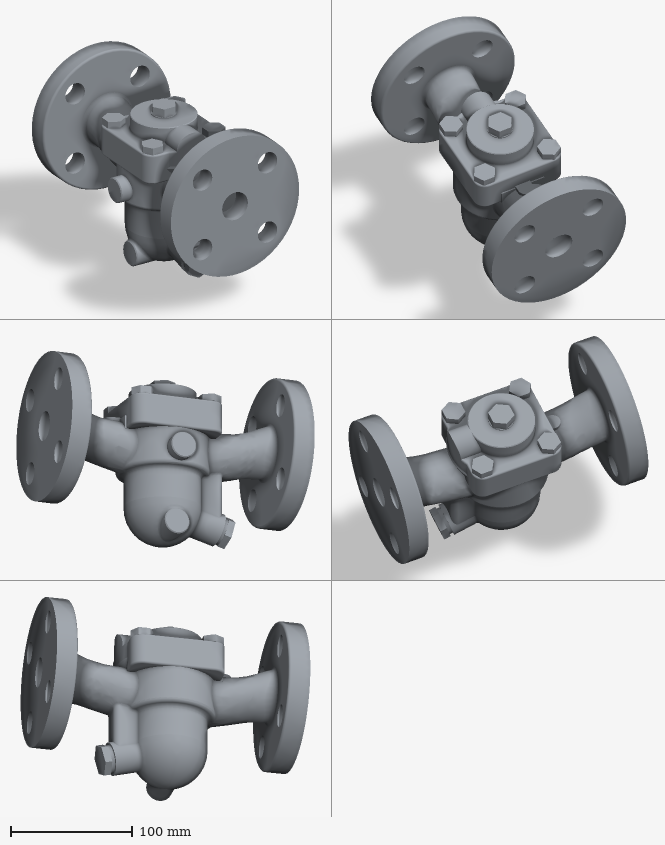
import cadquery as cq
import math


OVERALL_LENGTH = 215.0
INLET_FACE_X = -105.0
OUTLET_FACE_X = INLET_FACE_X + OVERALL_LENGTH
FLANGE_DIAMETER = 125.0
FLANGE_THICKNESS = 18.0
FLANGE_EDGE_RADIUS = 2.0
BOLT_HOLE_DIAMETER = 19.0
BOLT_HOLE_OFFSET = 31.5
BORE_DIAMETER = 25.0

PIPE_DIAMETER = 45.0
PIPE_SECTIONS = [
    (0.0, PIPE_DIAMETER / 2, -PIPE_DIAMETER / 2),
    (16.1, 16.0, -23.0),
    (33.3, 11.2, -27.3),
    (64.5, 10.5, -34.2),
]
PIPE_ROOT_RADIUS = 2.5

UPPER_RADIUS = 39.0
BOWL_RADIUS = 32.2
SHOULDER_Z = -28.0
SHOULDER_RADIUS = (UPPER_RADIUS - BOWL_RADIUS) / 2
BOWL_CENTER_Z = -58.7

JOINT_SEARCH_X = 21.5
SEARCH_MARGIN = 0.5
JOINT_RADIUS = 2.2
LOWER_BOSS_JOINT_RADIUS = 2.5

PLATE_SIDE = 80.0
PLATE_CORNER_RADIUS = 10.0
PLATE_BOTTOM_Z = 0.0
JOINT_Z = 13.0
COVER_TOP_Z = 26.2
COVER_EDGE_RADIUS = 1.5
PLATE_BOTTOM_RADIUS = 1.7
INLET_PAD_X = -41.0
INLET_PAD_WIDTH = 39.5
INLET_PAD_TOP_Z = 11.2

BULGE_RADIUS = 44.7
BODY_BULGE_RADIUS = 45.5
BODY_BULGE_FOOT_RADIUS = 41.3
BODY_BULGE_TOP_Z = INLET_PAD_TOP_Z
BULGE_WIDTH = 56.0

DOME_RADIUS = 28.0
DOME_TOP_Z = 40.6
DOME_ROOT_RADIUS = 1.5
DOME_EDGE_CHAMFER = 0.6
EAR_RADIUS = 14.0
CENTER_WASHER_DIAMETER = 21.0
CENTER_WASHER_HEIGHT = 0.9
CENTER_PLUG_FLATS = 19.0
CENTER_PLUG_HEIGHT = 7.7

HEXAGON_HALF_TURN = 30
COVER_BOLT_OFFSET = 29.9
COVER_BOLT_FLATS = 17.0
COVER_BOLT_HEIGHT = 6.2

TAB_WIDTH = 13.5
TAB_END_X = -52.7
TAB_THICKNESS = 4.3

BOSS_DIAMETER = 22.0
BOSS_EDGE_CHAMFER = 0.9
UPPER_BOSS_Z = -17.6
UPPER_BOSS_END_Y = -48.2
LOWER_BOSS_Z = -79.0
LOWER_BOSS_END_Y = -33.1

PLUG_TILT = 15.0
PLUG_BOSS_DIAMETER = 28.0
PLUG_BOSS_LENGTH = 51.2
PLUG_WASHER_DIAMETER = 23.6
PLUG_WASHER_HEIGHT = 3.0
PLUG_FLATS = 23.6
PLUG_HEIGHT = 6.0
RIB_WIDTH = 25.8
RIB_END_X = 49.0
RIB_EDGE_RADIUS = 5.0
RIB_TOP_Z = -21.5


def box_around(near, far):
    """Selector for the edges whose centres lie between two opposite corners."""
    return cq.selectors.BoxSelector(near, far)


def hexagon(flats, height, turn=0.0):
    """Hexagonal prism standing on Z = 0, with two corners on the X axis before turning."""
    corners = flats / math.cos(math.radians(HEXAGON_HALF_TURN))
    return cq.Workplane("XY").polygon(6, corners).extrude(height).rotate((0, 0, 0), (0, 0, 1), turn)


def disc(diameter, bottom, top):
    return cq.Workplane("XY").workplane(offset=bottom).circle(diameter / 2).extrude(top - bottom)


def pipe_end(face_x, inward):
    """Flange and curved neck; inward is +1 or -1 along X, from the face to the body."""
    back_x = face_x + inward * FLANGE_THICKNESS
    flange = cq.Workplane("YZ", origin=(face_x, 0, 0)).circle(FLANGE_DIAMETER / 2)
    flange = flange.extrude(inward * FLANGE_THICKNESS)
    flange = flange.edges(cq.selectors.NearestToPointSelector((back_x, 0, FLANGE_DIAMETER / 2)))
    flange = flange.fillet(FLANGE_EDGE_RADIUS)

    neck = cq.Workplane("YZ", origin=(back_x, 0, 0))
    previous = 0.0
    for distance, top, bottom in PIPE_SECTIONS:
        neck = neck.workplane(offset=inward * (distance - previous))
        neck = neck.moveTo(0, (top + bottom) / 2)
        neck = neck.ellipse(PIPE_DIAMETER / 2, (top - bottom) / 2)
        previous = distance
    neck = neck.loft()

    pipe = flange.union(neck)
    near = (back_x - SEARCH_MARGIN, -PIPE_DIAMETER, -PIPE_DIAMETER)
    far = (back_x + SEARCH_MARGIN, PIPE_DIAMETER, PIPE_DIAMETER)
    return pipe.edges(box_around(near, far)).fillet(PIPE_ROOT_RADIUS)


def flange_holes(face_x, inward):
    """Four bolt holes and the blind bore of one flange."""
    face = cq.Workplane("YZ", origin=(face_x, 0, 0))
    holes = face.rect(2 * BOLT_HOLE_OFFSET, 2 * BOLT_HOLE_OFFSET, forConstruction=True).vertices()
    holes = holes.circle(BOLT_HOLE_DIAMETER / 2).extrude(inward * FLANGE_THICKNESS)
    bore = face.circle(BORE_DIAMETER / 2).extrude(inward * FLANGE_THICKNESS)
    return holes.union(bore)


def body():
    """Upper cylinder, rolled shoulder and round-bottomed bowl, as one turned shape."""
    roll = SHOULDER_RADIUS
    drop = roll * math.sqrt(0.5)
    middle = (UPPER_RADIUS - roll, SHOULDER_Z - roll)
    dip = BOWL_RADIUS * math.sqrt(0.5)
    profile = (
        cq.Workplane("YZ")
        .moveTo(0, JOINT_Z)
        .lineTo(UPPER_RADIUS, JOINT_Z)
        .lineTo(UPPER_RADIUS, SHOULDER_Z)
        .threePointArc((UPPER_RADIUS - roll + drop, SHOULDER_Z - drop), middle)
        .threePointArc((BOWL_RADIUS + roll - drop, SHOULDER_Z - 2 * roll + drop),
                       (BOWL_RADIUS, SHOULDER_Z - 2 * roll))
        .lineTo(BOWL_RADIUS, BOWL_CENTER_Z)
        .threePointArc((dip, BOWL_CENTER_Z - dip), (0, BOWL_CENTER_Z - BOWL_RADIUS))
        .close()
    )
    return profile.revolve(360, (0, 0, 0), (0, 1, 0))


def plate(bottom, top):
    square = cq.Workplane("XY").workplane(offset=bottom).rect(PLATE_SIDE, PLATE_SIDE)
    return square.extrude(top - bottom).edges("|Z").fillet(PLATE_CORNER_RADIUS)


def bulge_zone():
    """Space on the outlet side that limits the bulges and the ear."""
    height = DOME_TOP_Z - PLATE_BOTTOM_Z
    zone = cq.Workplane("XY").workplane(offset=PLATE_BOTTOM_Z)
    return zone.rect(2 * BULGE_RADIUS, BULGE_WIDTH).extrude(height).translate((BULGE_RADIUS, 0, 0))


def body_flange():
    flange = plate(PLATE_BOTTOM_Z, JOINT_Z).faces("<Z").edges().fillet(PLATE_BOTTOM_RADIUS)
    pad_height = INLET_PAD_TOP_Z - PLATE_BOTTOM_Z
    pad = cq.Workplane("XY").box(UPPER_RADIUS, INLET_PAD_WIDTH, pad_height, centered=(False, True, False))
    pad = pad.translate((INLET_PAD_X, 0, PLATE_BOTTOM_Z))
    bulge = (
        cq.Workplane("XZ")
        .moveTo(0, PLATE_BOTTOM_Z)
        .lineTo(BODY_BULGE_FOOT_RADIUS, PLATE_BOTTOM_Z)
        .lineTo(BODY_BULGE_RADIUS, BODY_BULGE_TOP_Z)
        .lineTo(BULGE_RADIUS, JOINT_Z)
        .lineTo(0, JOINT_Z)
        .close()
        .revolve(360, (0, 0, 0), (0, 1, 0))
        .intersect(bulge_zone())
    )
    return flange.union(pad).union(bulge)


def cover():
    bulge = disc(2 * BULGE_RADIUS, JOINT_Z, COVER_TOP_Z).intersect(bulge_zone())
    block = plate(JOINT_Z, COVER_TOP_Z).union(bulge)
    block = block.faces(">Z").edges().fillet(COVER_EDGE_RADIUS)

    dome = disc(2 * DOME_RADIUS, COVER_TOP_Z, DOME_TOP_Z).faces(">Z").chamfer(DOME_EDGE_CHAMFER)
    block = block.union(dome)
    near = (-SEARCH_MARGIN, -SEARCH_MARGIN, COVER_TOP_Z - SEARCH_MARGIN)
    far = (SEARCH_MARGIN, SEARCH_MARGIN, COVER_TOP_Z + SEARCH_MARGIN)
    block = block.edges(box_around(near, far)).fillet(DOME_ROOT_RADIUS)

    ear_axis_z = DOME_TOP_Z - EAR_RADIUS
    ear = cq.Workplane("YZ").center(0, ear_axis_z).circle(EAR_RADIUS).extrude(2 * BULGE_RADIUS)
    ear = ear.intersect(disc(2 * BULGE_RADIUS, JOINT_Z, DOME_TOP_Z))
    return block.union(ear)


def center_plug():
    washer_top = DOME_TOP_Z + CENTER_WASHER_HEIGHT
    washer = disc(CENTER_WASHER_DIAMETER, DOME_TOP_Z, washer_top)
    head = hexagon(CENTER_PLUG_FLATS, CENTER_PLUG_HEIGHT, HEXAGON_HALF_TURN).translate((0, 0, washer_top))
    return washer.union(head)


def cover_bolts():
    """Four hexagon heads; those on one diagonal stand a twelfth of a turn from the others."""
    bolts = cq.Workplane("XY")
    for side_x in (-1, 1):
        for side_y in (-1, 1):
            turn = 0 if side_x == side_y else HEXAGON_HALF_TURN
            head = hexagon(COVER_BOLT_FLATS, COVER_BOLT_HEIGHT, turn)
            place = (side_x * COVER_BOLT_OFFSET, side_y * COVER_BOLT_OFFSET, COVER_TOP_Z)
            bolts = bolts.union(head.translate(place))
    return bolts


def inlet_tab():
    round_x = TAB_END_X + TAB_WIDTH / 2
    base = cq.Workplane("XY").workplane(offset=JOINT_Z - TAB_THICKNESS)
    end = base.center(round_x, 0).circle(TAB_WIDTH / 2).extrude(TAB_THICKNESS)
    strip = base.rect(-round_x, TAB_WIDTH).extrude(TAB_THICKNESS).translate((round_x / 2, 0, 0))
    return end.union(strip)


def front_boss(center_z, end_y):
    boss = cq.Workplane("XZ").center(0, center_z).circle(BOSS_DIAMETER / 2).extrude(-end_y)
    return boss.faces("<Y").chamfer(BOSS_EDGE_CHAMFER)


def along_plug_axis(shape):
    """Turn a shape built along +Z onto the plug axis, which starts at the bowl centre."""
    return shape.rotate((0, 0, 0), (0, 1, 0), 90 + PLUG_TILT).translate((0, 0, BOWL_CENTER_Z))


def plug_boss():
    return along_plug_axis(disc(PLUG_BOSS_DIAMETER, 0, PLUG_BOSS_LENGTH))


def plug():
    washer_top = PLUG_BOSS_LENGTH + PLUG_WASHER_HEIGHT
    washer = disc(PLUG_WASHER_DIAMETER, PLUG_BOSS_LENGTH, washer_top)
    head = hexagon(PLUG_FLATS, PLUG_HEIGHT).translate((0, 0, washer_top))
    return along_plug_axis(washer.union(head))


def rib():
    """Upright rib from the pipe down to the axis of the plug boss."""
    foot_z = BOWL_CENTER_Z - RIB_END_X * math.tan(math.radians(PLUG_TILT))
    outline = [(0, RIB_TOP_Z), (RIB_END_X, RIB_TOP_Z), (RIB_END_X, foot_z), (0, BOWL_CENTER_Z)]
    web = cq.Workplane("XZ").polyline(outline).close().extrude(RIB_WIDTH / 2, both=True)
    return web.faces(">X").edges("|Z").fillet(RIB_EDGE_RADIUS)


def body_with_pipes():
    """Body and both pipe ends, with rounded joints where the necks meet the body."""
    shape = body().union(pipe_end(INLET_FACE_X, 1)).union(pipe_end(OUTLET_FACE_X, -1))
    neck_half = PIPE_DIAMETER / 2 + SEARCH_MARGIN
    bowl_top_z = SHOULDER_Z - 2 * SHOULDER_RADIUS
    for side in (-1, 1):
        near = (side * JOINT_SEARCH_X, -neck_half, bowl_top_z)
        far = (side * (UPPER_RADIUS + SEARCH_MARGIN), neck_half, JOINT_Z)
        joint = shape.edges(box_around(near, far)).edges("not(%CIRCLE or %LINE)")
        shape = joint.fillet(JOINT_RADIUS)
    return shape


def round_lower_boss_joint(shape):
    """Round the seam where the lower boss leaves the bowl; its centre lies just inside the bowl."""
    seam_y = -math.sqrt(BOWL_RADIUS ** 2 - (LOWER_BOSS_Z - BOWL_CENTER_Z) ** 2)
    near = (-BOSS_DIAMETER / 4, seam_y, LOWER_BOSS_Z - BOSS_DIAMETER / 4)
    far = (BOSS_DIAMETER / 4, seam_y + BOSS_DIAMETER / 2, LOWER_BOSS_Z + BOSS_DIAMETER / 4)
    return shape.edges(box_around(near, far)).fillet(LOWER_BOSS_JOINT_RADIUS)


def round_plug_boss_joint(shape):
    """Round the seam that runs around the plug boss and up both sides of the rib."""
    half_width = RIB_WIDTH / 2
    rib_seam_x = math.sqrt(BOWL_RADIUS ** 2 - half_width ** 2)
    near = (JOINT_SEARCH_X + JOINT_RADIUS, -half_width - SEARCH_MARGIN, LOWER_BOSS_Z)
    far = (rib_seam_x + SEARCH_MARGIN, half_width + SEARCH_MARGIN, SHOULDER_Z - 2 * SHOULDER_RADIUS)
    return shape.edges(box_around(near, far)).fillet(JOINT_RADIUS)


result = body_with_pipes()
result = result.union(front_boss(LOWER_BOSS_Z, LOWER_BOSS_END_Y))
result = round_lower_boss_joint(result)
result = result.union(plug_boss()).union(rib())
result = round_plug_boss_joint(result)
result = result.union(front_boss(UPPER_BOSS_Z, UPPER_BOSS_END_Y))
result = result.union(body_flange()).union(cover()).union(inlet_tab())
result = result.union(center_plug()).union(cover_bolts()).union(plug())
result = result.cut(flange_holes(INLET_FACE_X, 1)).cut(flange_holes(OUTLET_FACE_X, -1))